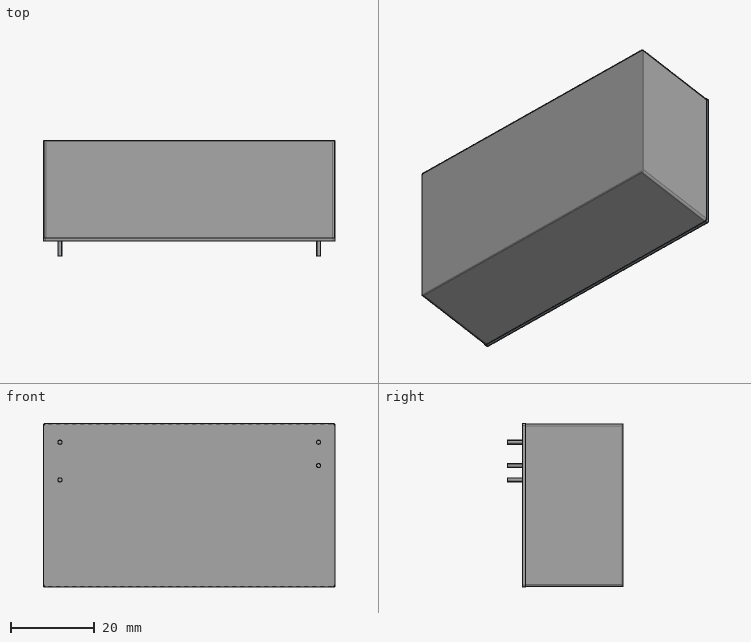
import cadquery as cq

plate_length = 69.5
plate_height = 39.0
plate_thickness = 0.7
plate_corner_radius = 0.5

case_inset = 0.1
case_length = plate_length - 2 * case_inset
case_height = plate_height - 2 * case_inset
case_corner_radius = 0.55
case_back_radius = 0.2

total_depth = 27.5
pin_length = 3.55
pin_diameter = 1.0
pin_x = 30.8
pin_top_z = 15.0
left_pin_pitch = 9.0
right_pin_pitch = 5.55

body_depth = total_depth - pin_length
case_depth = body_depth - plate_thickness


def rounded_block(length, height, depth, corner_radius):
    """Block centred in X and Z, running from Y = 0 to Y = depth, with rounded edges along Y."""
    block = cq.Workplane("XY").box(length, depth, height, centered=(True, False, True))
    return block.edges("|Y").fillet(corner_radius)


def make_pins():
    """Two pins at each end, standing out from the plate towards -Y."""
    pin_positions = [
        (-pin_x, pin_top_z),
        (-pin_x, pin_top_z - left_pin_pitch),
        (pin_x, pin_top_z),
        (pin_x, pin_top_z - right_pin_pitch),
    ]
    return (
        cq.Workplane("XZ", origin=(0, plate_thickness, 0))
        .pushPoints(pin_positions)
        .circle(pin_diameter / 2)
        .extrude(plate_thickness + pin_length)
    )


plate = rounded_block(plate_length, plate_height, plate_thickness, plate_corner_radius)
case = rounded_block(case_length, case_height, case_depth, case_corner_radius)
case = case.faces(">Y").edges().fillet(case_back_radius)
case = case.translate((0, plate_thickness, 0))

result = plate.union(case).union(make_pins())